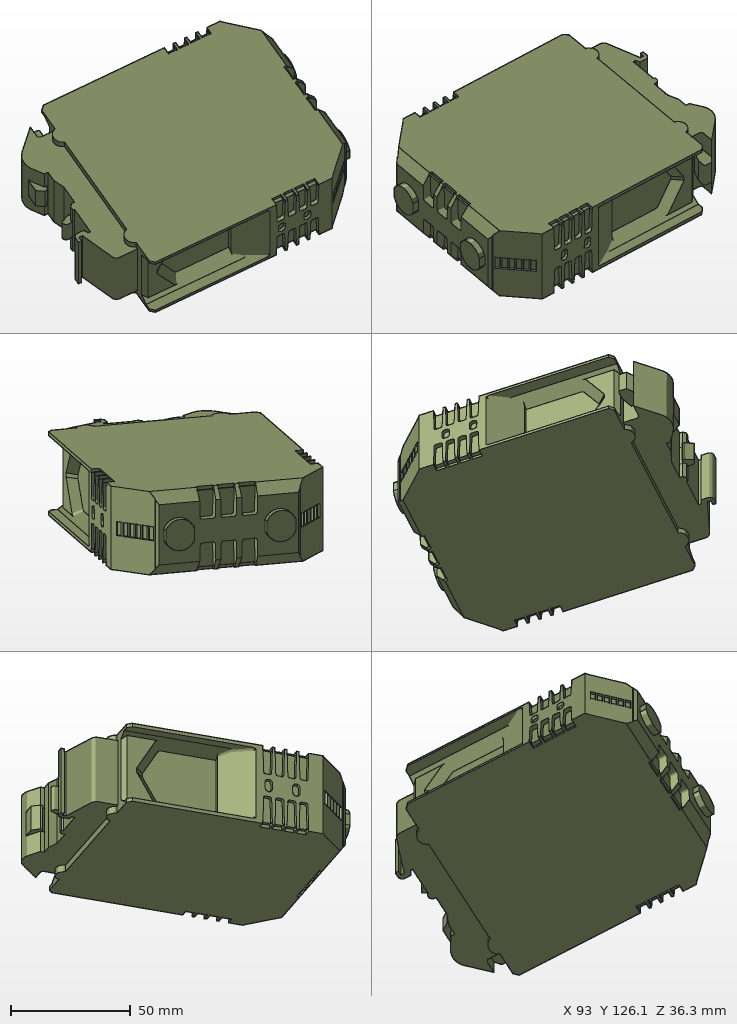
import cadquery as cq


housing_width = 93.0
housing_height = 103.5
housing_thickness = 36.3
half_width = housing_width / 2
half_thickness = housing_thickness / 2

foot_corner_chamfer = 1.9
shoulder_y = 87.3
shoulder_bevel_x = 45.1
shoulder_bevel_y = 88.5
slope_run = 13.2
slope_top_x = shoulder_bevel_x - slope_run
slope_top_y = shoulder_bevel_y + slope_run
lip_x = 31.8
lip_y = 102.2
end_half_width = 30.5
end_taper_y = 3.7
end_taper_z = 5.0

boss_radius = 6.8
boss_flat_x = 6.3
boss_height = 2.9
boss_x = 22.2

tongue_radius = 4.2
tongue_x = 29.7
tongue_y = 1.3

vent_inner_z = 5.2
vent_mouth_depth_z = 1.5
vent_corner_radius = 1.0
side_vent_width = 4.3
side_vent_tip_width = 3.5
side_vent_depth = 1.9
side_vent_mouth_depth = 3.5
side_vent_pitch = 5.4
side_vent_first_y = 62.5
side_vent_count = 4
end_vent_width = 7.3
end_vent_tip_width = 6.5
end_vent_depth = 3.9
end_vent_mouth_depth = 4.8
end_vent_pitch = 9.2
end_vent_count = 3

oval_width = 2.8
oval_length = 5.2
oval_depth = 1.3
oval_draft = 11
oval_ys = (63.0, 75.3)

shoulder_angle = 45
shoulder_slot_count = 6
shoulder_slot_pitch = 3.0
shoulder_slot_width = 2.3
shoulder_slot_length = 6.0
shoulder_slot_depth = 1.0

pocket_top_y = 57.2
pocket_rim_half = 16.5
pocket_wall_depth = 4.5
pocket_wall_slope = 0.65
ledge_depth = 6.3
ledge_bevel = 2.0
ledge_tip_y = 6.3
ledge_corner_y = 15.0
floor_depth = 10.2
floor_tip_y = 10.3
floor_corner_y = 17.6
tip_half = 0.9
ramp_top_depth = 0.6
ramp_end_depth = 8.2
ramp_end_y = 43.2
ramp_fillet = 1.3
arrow_fillet = 1.9

foot_half_thickness = 15.0
foot_half_width = 34.9
foot_notch_x = -41.6
foot_notch_y = -7.3
foot_notch_radius = 1.3
foot_heel_corner = (-28.1, -20.9)
foot_heel_radius = 7.8
foot_lip_corner = (15.4, -19.7)
foot_lip_radius = 2.0
foot_toe_corner = (foot_half_width, -10.6)
foot_toe_radius = 2.8
rail_seat_left_x = -17.8
rail_seat_right_x = 17.4
rail_seat_y = -12.6
rail_relief_y = -10.7

slider_half_thickness = 5.5
tab_corner = (-44.2, -1.5)
tab_radius = 0.9
bar_top_y = -3.5
bar_bottom_y = foot_notch_y
hook_left_x = -24.2
hook_bottom_y = -18.4
hook_tip_x = -15.8
spring_left_x = 1.5
spring_tip_corner = (3.7, -17.1)
spring_tip_radius = 2.0


def both_sides(shape):
    """The shape together with its mirror image in the YZ plane."""
    return shape.union(shape.mirror("YZ"))


def both_faces(shape):
    """The shape together with its mirror image in the XY plane."""
    return shape.union(shape.mirror("XY"))


def slab(points, half_thickness_z):
    """A closed outline in XY, thickened equally to both sides of the middle plane."""
    return cq.Workplane("XY").polyline(points).close().extrude(half_thickness_z, both=True)


def round_corner(shape, corner, radius):
    """Round the edge parallel to Z that stands on a given corner of a slab."""
    edge = shape.edges(cq.selectors.NearestToPointSelector((corner[0], corner[1], 0)))
    return edge.fillet(radius)


def housing_block():
    right_edge = [
        (half_width - foot_corner_chamfer, 0),
        (half_width, foot_corner_chamfer),
        (half_width, shoulder_y),
        (shoulder_bevel_x, shoulder_bevel_y),
        (slope_top_x, slope_top_y),
        (lip_x, lip_y),
        (end_half_width, housing_height),
    ]
    left_edge = [(-x, y) for x, y in reversed(right_edge)]
    block = slab(right_edge + left_edge, half_thickness)
    taper = (
        cq.Workplane("YZ")
        .polyline(
            [
                (housing_height - end_taper_y, half_thickness),
                (housing_height, half_thickness),
                (housing_height, half_thickness - end_taper_z),
            ]
        )
        .close()
        .extrude(half_width, both=True)
    )
    return block.cut(both_faces(taper))


def connector_bosses():
    boss = cq.Workplane("XZ").circle(boss_radius).extrude(-boss_height)
    flats = cq.Workplane("XY").box(2 * boss_flat_x, 4 * boss_height, 4 * boss_radius)
    return both_sides(boss.intersect(flats).translate((boss_x, housing_height, 0)))


def foot_tongues():
    tongue = (
        cq.Workplane("XY", origin=(tongue_x, tongue_y, foot_half_thickness))
        .circle(tongue_radius)
        .extrude(half_thickness - foot_half_thickness)
    )
    return both_faces(both_sides(tongue))


def vent_slot(width, tip_width, depth, mouth_depth):
    """Slot cut down from the plane Y = 0 that narrows inwards and opens at the +Z face."""
    groove = (
        cq.Workplane("XZ")
        .polyline(
            [
                (-tip_width / 2, vent_inner_z),
                (tip_width / 2, vent_inner_z),
                (width / 2, half_thickness),
                (-width / 2, half_thickness),
            ]
        )
        .close()
        .extrude(depth)
        .edges("|Y and <Z")
        .fillet(vent_corner_radius)
    )
    mouth = cq.Workplane("XY").box(width, mouth_depth, vent_mouth_depth_z, centered=(True, False, False))
    return groove.union(mouth.translate((0, -mouth_depth, half_thickness - vent_mouth_depth_z)))


def side_vents():
    slot = vent_slot(side_vent_width, side_vent_tip_width, side_vent_depth, side_vent_mouth_depth)
    slot = slot.rotate((0, 0, 0), (0, 0, 1), -90).translate((half_width, side_vent_first_y, 0))
    vents = cq.Workplane("XY")
    for index in range(side_vent_count):
        vents = vents.add(slot.translate((0, index * side_vent_pitch, 0)))
    return both_faces(both_sides(vents.combine()))


def end_vents():
    slot = vent_slot(end_vent_width, end_vent_tip_width, end_vent_depth, end_vent_mouth_depth)
    vents = cq.Workplane("XY")
    for index in range(end_vent_count):
        offset = (index - (end_vent_count - 1) / 2) * end_vent_pitch
        vents = vents.add(slot.translate((offset, housing_height, 0)))
    return both_faces(vents.combine())


def oval_windows():
    windows = (
        cq.Workplane("YZ", origin=(half_width - oval_depth, 0, 0))
        .pushPoints([(y, 0) for y in oval_ys])
        .slot2D(oval_length, oval_width, 90)
        .extrude(oval_depth, taper=-oval_draft)
    )
    return both_sides(windows)


def shoulder_slots():
    middle_x = (shoulder_bevel_x + slope_top_x) / 2
    middle_y = (shoulder_bevel_y + slope_top_y) / 2
    slots = (
        cq.Workplane("XY")
        .rarray(shoulder_slot_pitch, 1.3, shoulder_slot_count, 1)
        .box(shoulder_slot_width, 2 * shoulder_slot_depth, shoulder_slot_length)
        .rotate((0, 0, 0), (0, 0, 1), -shoulder_angle)
        .translate((middle_x, middle_y, 0))
    )
    return both_sides(slots)


def pocket_half(depth):
    """Half size of the pocket in Z between its drafted walls at a given depth."""
    return pocket_rim_half - pocket_wall_slope * max(0, depth - pocket_wall_depth)


def pocket_channel(depth):
    """Full-length stretch of the pocket down to a given depth, with drafted walls."""
    half = pocket_half(depth)
    return (
        cq.Workplane("XZ")
        .polyline(
            [
                (half_width, pocket_rim_half),
                (half_width - pocket_wall_depth, pocket_rim_half),
                (half_width - depth, half),
                (half_width - depth, -half),
                (half_width - pocket_wall_depth, -pocket_rim_half),
                (half_width, -pocket_rim_half),
            ]
        )
        .close()
        .extrude(-pocket_top_y)
    )


def arrow_outline(depth, tip_y, corner_y):
    """Arrow-shaped pocket outline in the YZ plane at a given depth below the side face."""
    half = pocket_half(depth)
    points = [
        (pocket_top_y, half),
        (corner_y, half),
        (tip_y, tip_half),
        (tip_y, -tip_half),
        (corner_y, -half),
        (pocket_top_y, -half),
    ]
    return cq.Wire.makePolygon([cq.Vector(half_width - depth, y, z) for y, z in points], close=True)


def ramp_profile():
    """Space below the chamfered, sloping and stepped upper end of the pocket."""
    return slab(
        [
            (half_width, 0),
            (half_width, pocket_top_y),
            (half_width - ramp_top_depth, pocket_top_y - ramp_top_depth),
            (half_width - ramp_end_depth, ramp_end_y),
            (half_width - floor_depth, ramp_end_y),
            (half_width - floor_depth, 0),
        ],
        half_thickness,
    )


def ledge_bevel_cut():
    """Bevel where the ledge runs out through the end face of the housing."""
    ledge_x = half_width - ledge_depth
    profile = slab([(ledge_x, 0), (ledge_x, ledge_bevel), (ledge_x - ledge_bevel, 0)], half_thickness)
    return profile.intersect(pocket_channel(ledge_depth + ledge_bevel))


def side_pockets():
    arrow = cq.Solid.makeLoft(
        [
            arrow_outline(ledge_depth, ledge_tip_y, ledge_corner_y),
            arrow_outline(floor_depth, floor_tip_y, floor_corner_y),
        ],
        True,
    )
    pocket = pocket_channel(ledge_depth).union(arrow).intersect(ramp_profile()).clean()
    ramp_x = half_width - (ramp_top_depth + ramp_end_depth) / 2
    ramp_y = (pocket_top_y - ramp_top_depth + ramp_end_y) / 2
    ramp = pocket.faces(cq.selectors.NearestToPointSelector((ramp_x, ramp_y, 0)))
    pocket = pocket.newObject(ramp.edges("not |Z").vals()).fillet(ramp_fillet)
    corner_x = half_width - (ledge_depth + floor_depth) / 2
    corner_y = (ledge_corner_y + floor_corner_y) / 2
    corner_z = pocket_half((ledge_depth + floor_depth) / 2)
    for z in (corner_z, -corner_z):
        corner = cq.selectors.NearestToPointSelector((corner_x, corner_y, z))
        pocket = pocket.edges(corner).fillet(arrow_fillet)
    return both_sides(pocket.union(ledge_bevel_cut()))


def make_housing():
    body = housing_block().union(connector_bosses()).union(foot_tongues())
    for cutter in (side_vents(), end_vents(), oval_windows(), shoulder_slots(), side_pockets()):
        body = body.cut(cutter)
    return body


def make_slider():
    """Release tab, bar, rail hook and spring tongue in one flat piece."""
    tab = [
        (foot_notch_x, bar_bottom_y),
        (tab_corner[0], -5.2),
        tab_corner,
        (-40.2, tab_corner[1]),
        (-foot_half_width, bar_top_y),
    ]
    spring = [
        (spring_tip_corner[0], bar_top_y),
        spring_tip_corner,
        (spring_left_x, spring_tip_corner[1]),
        (-0.4, -13.4),
        (-0.4, -12.5),
        (spring_left_x, -12.1),
        (spring_left_x, bar_bottom_y),
    ]
    hook = [
        (-18.4, bar_bottom_y),
        (rail_seat_left_x, -13.5),
        (-16.9, -13.6),
        (hook_tip_x, -14.1),
        (hook_tip_x, -15.1),
        (-18.0, hook_bottom_y),
        (hook_left_x, hook_bottom_y),
        (hook_left_x, bar_bottom_y),
    ]
    slider = slab(tab + spring + hook, slider_half_thickness)
    slider = round_corner(slider, spring_tip_corner, spring_tip_radius)
    return round_corner(slider, tab_corner, tab_radius)


def make_foot(slider):
    """Clip for the mounting rail, with a slot that exactly holds the slider."""
    left_flank = [
        (-foot_half_width, 0),
        (-foot_half_width, foot_notch_y),
        (foot_notch_x, foot_notch_y),
        foot_heel_corner,
        (rail_seat_left_x, -14.4),
    ]
    rail_side = [
        (rail_seat_left_x, rail_seat_y),
        (-12.9, rail_seat_y),
        (-8.0, rail_relief_y),
        (1.0, rail_relief_y),
        (1.0, -12.1),
        (2.1, -13.4),
        (3.8, -13.4),
        (4.3, rail_seat_y),
        (rail_seat_right_x, rail_seat_y),
    ]
    fixed_hook = [
        (rail_seat_right_x, -13.7),
        (foot_lip_corner[0], -14.6),
        foot_lip_corner,
        (19.7, foot_lip_corner[1]),
        (19.7, -18.1),
        (17.5, -18.1),
        (17.5, -16.5),
    ]
    right_flank = [foot_toe_corner, (foot_half_width, 0)]
    foot = slab(left_flank + rail_side + fixed_hook + right_flank, foot_half_thickness)
    foot = round_corner(foot, (-foot_half_width, foot_notch_y), foot_notch_radius)
    foot = round_corner(foot, foot_heel_corner, foot_heel_radius)
    foot = round_corner(foot, foot_lip_corner, foot_lip_radius)
    foot = round_corner(foot, foot_toe_corner, foot_toe_radius)
    return foot.cut(slider)


housing = make_housing()
slider = make_slider()
foot = make_foot(slider)
result = cq.Compound.makeCompound([housing.val(), slider.val(), foot.val()])